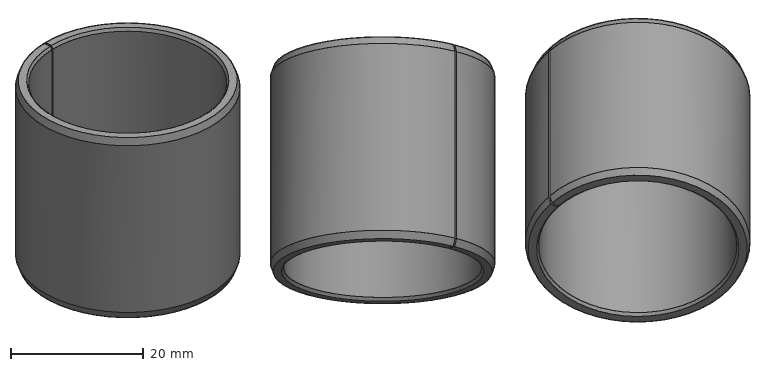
import cadquery as cq
import math

outer_radius = 17.0
length = 32.0
wall = 2.0
inner_radius = outer_radius - wall

outer_chamfer_height = 1.2
outer_chamfer_angle = 20.0
outer_chamfer_depth = outer_chamfer_height * math.tan(math.radians(outer_chamfer_angle))
inner_chamfer_depth = 0.3
inner_chamfer_height = 0.5

slit_angle = 1.0


def split_sleeve():
    """Revolve the wall section about Z from -X, stopping one slit angle short of a full turn."""
    half = length / 2
    outer_edge = half - outer_chamfer_height
    inner_edge = half - inner_chamfer_height
    rim_outer = outer_radius - outer_chamfer_depth
    rim_inner = inner_radius + inner_chamfer_depth
    section = (
        cq.Workplane("XZ")
        .moveTo(rim_inner, -half)
        .lineTo(rim_outer, -half)
        .lineTo(outer_radius, -outer_edge)
        .lineTo(outer_radius, outer_edge)
        .lineTo(rim_outer, half)
        .lineTo(rim_inner, half)
        .lineTo(inner_radius, inner_edge)
        .lineTo(inner_radius, -inner_edge)
        .close()
    )
    ring = section.revolve(360 - slit_angle, (0, 0, 0), (0, 1, 0))
    return ring.rotate((0, 0, 0), (0, 0, 1), 180)


result = split_sleeve()